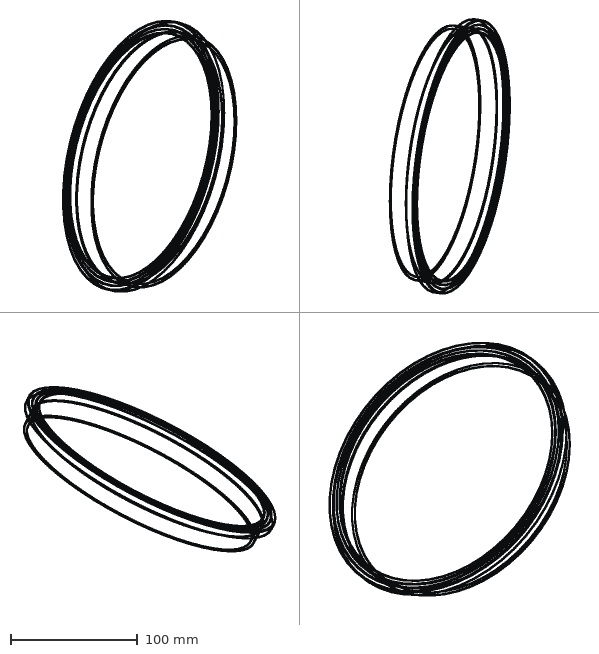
import cadquery as cq
import math

length = 22.2
flange_radius = 217.7 / 2
hub_radius = 203.0 / 2
bore_radius = 197.7 / 2

rim_width = 5.7
cone_angle = 20
cone_root_fillet = 0.7

groove_center_radius = 103.6
groove_lip_width = 3.5
groove_depth = 1.5

edge_break = 0.5

selection_margin = 0.2

x_face = -length / 2
x_end = length / 2
x_rim_back = x_face + rim_width
x_cone_root = x_rim_back + (flange_radius - hub_radius) * math.tan(math.radians(cone_angle))


def revolve_about_x(profile):
    """Spin an (x, radius) profile a full turn about the X axis."""
    return profile.close().revolve(360, (0, 0, 0), (1, 0, 0))


def cone_root_edge():
    """Select the circle where the clamping cone meets the hub."""
    reach = flange_radius + selection_margin
    return cq.selectors.BoxSelector(
        (x_cone_root - selection_margin, -reach, -reach),
        (x_cone_root + selection_margin, reach, reach),
        boundingbox=True,
    )


def ring_body():
    profile = (
        cq.Workplane("XY")
        .moveTo(x_face, bore_radius)
        .lineTo(x_face, flange_radius)
        .lineTo(x_rim_back, flange_radius)
        .lineTo(x_cone_root, hub_radius)
        .lineTo(x_end, hub_radius)
        .lineTo(x_end, bore_radius)
    )
    ring = revolve_about_x(profile)
    ring = ring.faces("<X").edges().chamfer(edge_break)
    return ring.edges(cone_root_edge()).fillet(cone_root_fillet)


def gasket_groove():
    lip_half_width = groove_lip_width / 2
    round_half_width = lip_half_width - edge_break
    x_lip_end = x_face + edge_break
    profile = (
        cq.Workplane("XY")
        .moveTo(x_face, groove_center_radius - lip_half_width)
        .lineTo(x_lip_end, groove_center_radius - round_half_width)
        .threePointArc(
            (x_face + groove_depth, groove_center_radius),
            (x_lip_end, groove_center_radius + round_half_width),
        )
        .lineTo(x_face, groove_center_radius + lip_half_width)
    )
    return revolve_about_x(profile)


result = ring_body().cut(gasket_groove())